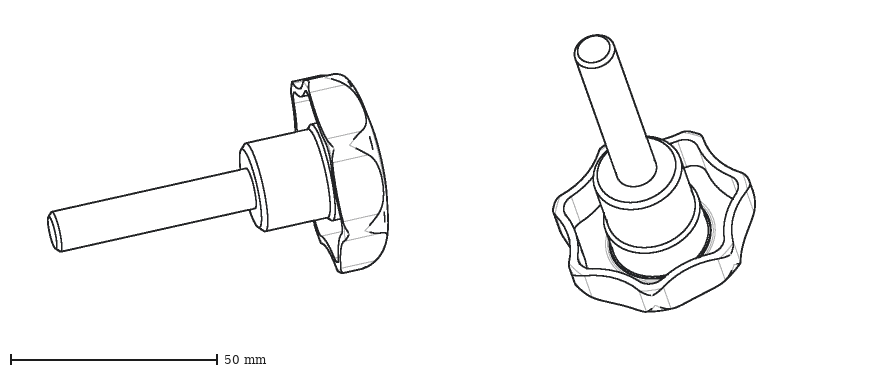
import cadquery as cq
import math


total_length = 82.0
head_height = 15.0
hub_end = -17.0
shaft_end = head_height - total_length

shaft_radius = 5.0
shaft_chamfer = 1.0
hub_radius = 11.0
hub_chamfer = 1.2

lobe_count = 7
valley_radius = 21.0
scallop_radius = 18.6
lobe_round = 4.0
wall = 2.0
rim_fillet = 1.0
shoulder_radius = 7.7
shoulder_start = 4.8

cavity_depth = 10.75
boss_radius = 12.0
boss_chamfer = boss_radius - hub_radius
collar_radius = 12.5
groove_outer = 13.6
groove_middle = 13.1
groove_cove = 1.1
groove_depth = 0.12
groove_bottom = cavity_depth + groove_depth
collar_end = groove_bottom - groove_cove + math.sqrt(
    groove_cove ** 2 - (groove_middle - collar_radius) ** 2
)

half_pitch = math.pi / lobe_count
scallop_center = valley_radius + scallop_radius


def lobe_center_distance(concave_radius):
    """Distance from the axis to the centre of a tip arc that touches both neighbouring valleys."""
    along = scallop_center * math.cos(half_pitch)
    across = scallop_center * math.sin(half_pitch)
    return along - math.sqrt((concave_radius + lobe_round) ** 2 - across ** 2)


def polar(radius, angle):
    return (radius * math.cos(angle), radius * math.sin(angle))


def lobed_outline(concave_radius):
    """Closed star outline of tangent valley and tip arcs; one valley points to +Z."""
    lobe_center = lobe_center_distance(concave_radius)
    share = lobe_round / (concave_radius + lobe_round)
    valley_bottom = scallop_center - concave_radius

    along = lobe_center * math.cos(half_pitch) * (1 - share) + scallop_center * share
    across = lobe_center * math.sin(half_pitch) * (1 - share)
    joint_radius = math.hypot(along, across)
    joint_angle = math.atan2(across, along)

    outline = cq.Workplane("XZ").moveTo(*polar(joint_radius, math.pi / 2 - joint_angle))
    for index in range(lobe_count):
        valley = math.pi / 2 + 2 * half_pitch * index
        tip = valley + half_pitch
        next_valley = valley + 2 * half_pitch
        outline = outline.threePointArc(
            polar(valley_bottom, valley), polar(joint_radius, valley + joint_angle)
        )
        outline = outline.threePointArc(
            polar(lobe_center + lobe_round, tip), polar(joint_radius, next_valley - joint_angle)
        )
    return outline.close()


def domed_disc():
    """Turned blank of the head: filleted rim, rounded shoulder and shallow dome."""
    radius = lobe_center_distance(scallop_radius) + lobe_round
    shoulder_x = radius - shoulder_radius
    drop = head_height - shoulder_start
    dome_radius = (shoulder_x ** 2 + drop ** 2 - shoulder_radius ** 2) / (2 * (drop - shoulder_radius))
    tilt = math.asin(shoulder_x / (dome_radius - shoulder_radius))
    dome_center = head_height - dome_radius

    def on_dome(angle):
        return (dome_radius * math.sin(angle), dome_center + dome_radius * math.cos(angle))

    mid_angle = (tilt + math.pi / 2) / 2
    shoulder_mid = (
        shoulder_x + shoulder_radius * math.sin(mid_angle),
        shoulder_start + shoulder_radius * math.cos(mid_angle),
    )
    return (
        cq.Workplane("XY")
        .lineTo(radius - rim_fillet, 0)
        .radiusArc((radius, rim_fillet), -rim_fillet)
        .lineTo(radius, shoulder_start)
        .threePointArc(shoulder_mid, on_dome(tilt))
        .threePointArc(on_dome(tilt / 2), (0, head_height))
        .close()
        .revolve(360, (0, 0), (0, 1))
    )


def head():
    star = lobed_outline(scallop_radius).extrude(-head_height)
    cavity = lobed_outline(scallop_radius + wall).extrude(-cavity_depth)
    return domed_disc().intersect(star).cut(cavity)


def floor_groove():
    """Shallow ring groove: a cove beside the collar, then a cone rising to the cavity floor."""
    return (
        cq.Workplane("XY")
        .moveTo(groove_outer, cavity_depth)
        .lineTo(groove_outer, collar_end)
        .lineTo(collar_radius, collar_end)
        .radiusArc((groove_middle, groove_bottom), groove_cove)
        .close()
        .revolve(360, (0, 0), (0, 1))
    )


def spindle():
    """Collar, boss, hub and shaft turned as one piece, rooted in the cavity floor."""
    return (
        cq.Workplane("XY")
        .moveTo(0, groove_bottom)
        .lineTo(collar_radius, groove_bottom)
        .lineTo(collar_radius, collar_end)
        .lineTo(boss_radius, collar_end)
        .lineTo(boss_radius, boss_chamfer)
        .lineTo(hub_radius, 0)
        .lineTo(hub_radius, hub_end + hub_chamfer)
        .lineTo(hub_radius - hub_chamfer, hub_end)
        .lineTo(shaft_radius, hub_end)
        .lineTo(shaft_radius, shaft_end + shaft_chamfer)
        .lineTo(shaft_radius - shaft_chamfer, shaft_end)
        .lineTo(0, shaft_end)
        .close()
        .revolve(360, (0, 0), (0, 1))
    )


result = head().cut(floor_groove()).union(spindle())